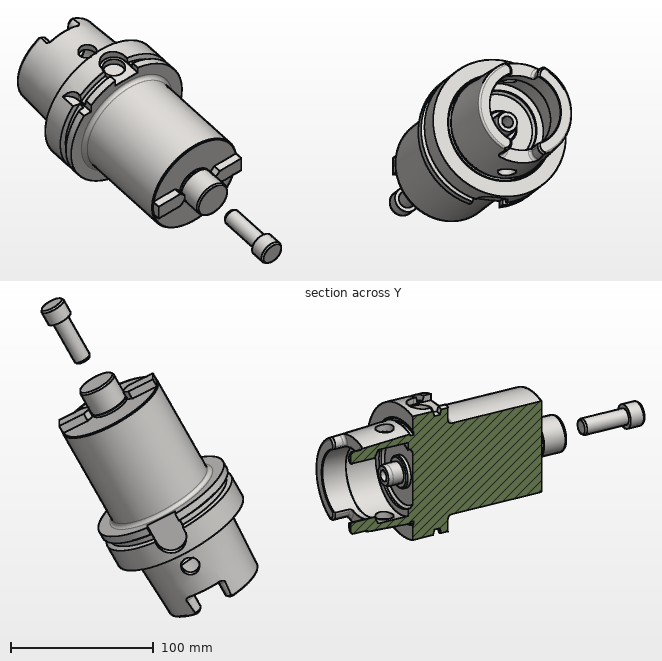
import cadquery as cq
import math


OVERALL_LENGTH = 242
TAPER_LENGTH = 50.0
TAPER_LARGE_RADIUS = 74.8 / 2
TAPER_SMALL_RADIUS = 70.2 / 2
NOSE_EDGE_RADIUS = 1.5
NECK_WIDTH = 2.2
NECK_RADIUS = 36.3
NECK_BEVEL = 0.7
FACE_RELIEF_RADIUS = 39.0
FACE_RELIEF_DEPTH = 1.0

FLANGE_RADIUS = 100.0 / 2
FLANGE_WIDTH = 29.0
FLANGE_FILLET = 3.0
GROOVE_CENTRE_X = 20.0
GROOVE_FLOOR_RADIUS = 46.2
GROOVE_FLOOR_WIDTH = 4.0
GROOVE_MOUTH_WIDTH = 6.3

BODY_RADIUS = 76.0 / 2
BODY_END_X = 105.0
BODY_CHAMFER = 0.7
PILOT_RADIUS = 27.0 / 2
PILOT_END_X = 125.5
PILOT_CHAMFER = 1.5
PILOT_NECK_RADIUS = 26.5 / 2
PILOT_NECK_WIDTH = 1.7
TENON_WIDTH = 12.0
TENON_HEIGHT = 6.0
TENON_INNER_Y = 13.8
TENON_OUTER_Y = 37.3
TENON_CHAMFER = 3.9

BORE_RADIUS = 53.0 / 2
BORE_MOUTH_RADIUS = 53.7 / 2
CHAMBER_RADIUS = 63 / 2
CHAMBER_START_X = -30.5
CHAMBER_END_X = -3.6
CHAMBER_CONE_ANGLE = 30
CAVITY_FLOOR_X = 0.0
CAVITY_FLOOR_CHAMFER = 2.0
COLLAR_RADIUS = 24.0 / 2
COLLAR_HEIGHT = 3.6
COLLAR_CHAMFER = 1.0
TUBE_RADIUS = 16.0 / 2
TUBE_BORE_RADIUS = 8.2 / 2
TUBE_TIP_X = -15.5
TUBE_TAPER_LENGTH = 3.1
TUBE_TAPER_ANGLE = 15

DRIVE_SLOT_HALF_WIDTH = 19.5 / 2
DRIVE_SLOT_EDGE_RADIUS = 5.8
DRIVE_SLOT_EDGE_TOP = 32.2
DRIVE_SLOT_CORNER_RADIUS = 2.2
DRIVE_SLOT_SIDE_RELIEF = 4.8
UPPER_DRIVE_SLOT_DEPTH = 9.7
LOWER_DRIVE_SLOT_DEPTH = 14.5
ACCESS_HOLE_RADIUS = 13.0 / 2
ACCESS_HOLE_X = -14.5

KEYWAY_END_X = 14.8
KEYWAY_FLOOR = 44.0
UPPER_KEYWAY_WIDTH = 20.0
LOWER_KEYWAY_WIDTH = 22.3
CHIP_HOLE_RADIUS = 16.0 / 2
CHIP_HOLE_DEPTH = 4.8
NOTCH_OFFSET = 32.0
NOTCH_END_RADIUS = 10.0

SCREW_TIP_X = 145.0
SCREW_HEAD_X = 180.0
SCREW_END_X = OVERALL_LENGTH - TAPER_LENGTH
SCREW_RADIUS = 12.0 / 2
SCREW_TIP_RADIUS = 10.5 / 2
SCREW_TIP_LENGTH = 1.5
HEAD_RADIUS = 18.0 / 2
HEAD_END_RADIUS = 16.0 / 2
HEAD_CHAMFER_LENGTH = 1.5


def revolve_about_x(points):
    """Turn a closed (x, radius) outline about the X axis."""
    return cq.Workplane("XY").polyline(points).close().revolve(360, (0, 0, 0), (1, 0, 0))


def shank_taper():
    nose_bulge = NOSE_EDGE_RADIUS * (1 - math.sqrt(0.5))
    return (cq.Workplane("XY").moveTo(-TAPER_LENGTH, 0)
            .lineTo(-TAPER_LENGTH, TAPER_SMALL_RADIUS - NOSE_EDGE_RADIUS)
            .threePointArc((-TAPER_LENGTH + nose_bulge, TAPER_SMALL_RADIUS - nose_bulge),
                           (-TAPER_LENGTH + NOSE_EDGE_RADIUS, TAPER_SMALL_RADIUS))
            .lineTo(-NECK_WIDTH, TAPER_LARGE_RADIUS)
            .lineTo(-NECK_WIDTH + NECK_BEVEL, NECK_RADIUS)
            .lineTo(FACE_RELIEF_DEPTH, NECK_RADIUS)
            .lineTo(FACE_RELIEF_DEPTH, 0).close()
            .revolve(360, (0, 0, 0), (1, 0, 0)))


def flange():
    half_floor = GROOVE_FLOOR_WIDTH / 2
    half_mouth = GROOVE_MOUTH_WIDTH / 2
    blank = revolve_about_x([
        (FACE_RELIEF_DEPTH, 0),
        (FACE_RELIEF_DEPTH, FACE_RELIEF_RADIUS - FACE_RELIEF_DEPTH),
        (0, FACE_RELIEF_RADIUS),
        (0, FLANGE_RADIUS),
        (GROOVE_CENTRE_X - half_mouth, FLANGE_RADIUS),
        (GROOVE_CENTRE_X - half_floor, GROOVE_FLOOR_RADIUS),
        (GROOVE_CENTRE_X + half_floor, GROOVE_FLOOR_RADIUS),
        (GROOVE_CENTRE_X + half_mouth, FLANGE_RADIUS),
        (FLANGE_WIDTH, FLANGE_RADIUS),
        (FLANGE_WIDTH, 0),
    ])
    for side, width in ((1, UPPER_KEYWAY_WIDTH), (-1, LOWER_KEYWAY_WIDTH)):
        blank = blank.cut(keyway(side, width))
    return blank.cut(chip_hole()).cut(corner_notch())


def keyway(side, width):
    """Round-ended keyway at the top (side 1) or bottom (side -1), open to the body side."""
    depth = FLANGE_RADIUS - KEYWAY_FLOOR
    run_out = FLANGE_WIDTH - KEYWAY_END_X
    floor = cq.Workplane("XY").workplane(offset=side * KEYWAY_FLOOR)
    straight = floor.center(KEYWAY_END_X + run_out / 2, 0).rect(run_out, width).extrude(side * depth)
    round_end = floor.center(KEYWAY_END_X, 0).circle(width / 2).extrude(side * depth)
    return straight.union(round_end)


def chip_hole():
    floor = KEYWAY_FLOOR - CHIP_HOLE_DEPTH
    return (cq.Workplane("XY").workplane(offset=floor).center(KEYWAY_END_X, 0)
            .circle(CHIP_HOLE_RADIUS).extrude(CHIP_HOLE_DEPTH))


def corner_notch():
    """Square-floored notch across the -Y, +Z shoulder with a milled round end."""
    reach = FLANGE_RADIUS - NOTCH_OFFSET
    run_out = FLANGE_WIDTH - KEYWAY_END_X
    floor = cq.Workplane("XY").workplane(offset=NOTCH_OFFSET)
    straight = (floor.center(KEYWAY_END_X + run_out / 2, -NOTCH_OFFSET - reach / 2)
                .rect(run_out, reach).extrude(reach))
    round_end = (floor.center(KEYWAY_END_X, -NOTCH_OFFSET - NOTCH_END_RADIUS)
                 .circle(NOTCH_END_RADIUS).extrude(reach))
    return straight.union(round_end)


def body_with_pilot():
    fillet_middle = FLANGE_FILLET * (1 - math.sqrt(0.5))
    neck_step = PILOT_RADIUS - PILOT_NECK_RADIUS
    neck_end = BODY_END_X + PILOT_NECK_WIDTH
    return (cq.Workplane("XY").moveTo(FLANGE_WIDTH, 0)
            .lineTo(FLANGE_WIDTH, BODY_RADIUS + FLANGE_FILLET)
            .threePointArc((FLANGE_WIDTH + fillet_middle, BODY_RADIUS + fillet_middle),
                           (FLANGE_WIDTH + FLANGE_FILLET, BODY_RADIUS))
            .lineTo(BODY_END_X - BODY_CHAMFER, BODY_RADIUS)
            .lineTo(BODY_END_X, BODY_RADIUS - BODY_CHAMFER)
            .lineTo(BODY_END_X, PILOT_NECK_RADIUS)
            .lineTo(neck_end, PILOT_NECK_RADIUS)
            .lineTo(neck_end + 2 * neck_step, PILOT_RADIUS)
            .lineTo(PILOT_END_X - PILOT_CHAMFER, PILOT_RADIUS)
            .lineTo(PILOT_END_X, PILOT_RADIUS - PILOT_CHAMFER / 2)
            .lineTo(PILOT_END_X, 0).close()
            .revolve(360, (0, 0, 0), (1, 0, 0)))


def tenon(side):
    """Driving tenon on the +Y (side 1) or -Y (side -1) half of the body end."""
    half = TENON_WIDTH / 2
    return (cq.Workplane("YZ").workplane(offset=BODY_END_X)
            .polyline([(side * TENON_OUTER_Y, -half),
                       (side * TENON_OUTER_Y, half),
                       (side * (TENON_INNER_Y + TENON_CHAMFER), half),
                       (side * TENON_INNER_Y, half - TENON_CHAMFER),
                       (side * TENON_INNER_Y, TENON_CHAMFER - half),
                       (side * (TENON_INNER_Y + TENON_CHAMFER), -half)])
            .close().extrude(TENON_HEIGHT))


def shank_cavity():
    mouth_depth = 2 * (BORE_MOUTH_RADIUS - BORE_RADIUS)
    cone_length = (CHAMBER_RADIUS - BORE_RADIUS) * math.tan(math.radians(CHAMBER_CONE_ANGLE))
    return revolve_about_x([
        (-TAPER_LENGTH, 0),
        (-TAPER_LENGTH, BORE_MOUTH_RADIUS),
        (-TAPER_LENGTH + mouth_depth, BORE_RADIUS),
        (CHAMBER_START_X, BORE_RADIUS),
        (CHAMBER_START_X + cone_length, CHAMBER_RADIUS),
        (CHAMBER_END_X, CHAMBER_RADIUS),
        (CHAMBER_END_X, BORE_RADIUS),
        (CAVITY_FLOOR_X - CAVITY_FLOOR_CHAMFER, BORE_RADIUS),
        (CAVITY_FLOOR_X, BORE_RADIUS - CAVITY_FLOOR_CHAMFER),
        (CAVITY_FLOOR_X, 0),
    ])


def drive_slot_outline(side, plane_x):
    """Slot cross-section at plane_x: straight walls that curve outwards over rounded edges."""
    edge_low = DRIVE_SLOT_EDGE_TOP - DRIVE_SLOT_EDGE_RADIUS
    edge_outer = DRIVE_SLOT_HALF_WIDTH + DRIVE_SLOT_EDGE_RADIUS
    arc_y = edge_outer - DRIVE_SLOT_EDGE_RADIUS * math.sqrt(0.5)
    arc_z = edge_low + DRIVE_SLOT_EDGE_RADIUS * math.sqrt(0.5)
    side_limit = edge_outer + DRIVE_SLOT_SIDE_RELIEF
    outer_limit = 2 * TAPER_LARGE_RADIUS
    return (cq.Workplane("YZ").workplane(offset=plane_x)
            .moveTo(-DRIVE_SLOT_HALF_WIDTH, 0)
            .lineTo(-DRIVE_SLOT_HALF_WIDTH, side * edge_low)
            .threePointArc((-arc_y, side * arc_z), (-edge_outer, side * DRIVE_SLOT_EDGE_TOP))
            .lineTo(-side_limit, side * DRIVE_SLOT_EDGE_TOP)
            .lineTo(-side_limit, side * outer_limit)
            .lineTo(side_limit, side * outer_limit)
            .lineTo(side_limit, side * DRIVE_SLOT_EDGE_TOP)
            .lineTo(edge_outer, side * DRIVE_SLOT_EDGE_TOP)
            .threePointArc((arc_y, side * arc_z), (DRIVE_SLOT_HALF_WIDTH, side * edge_low))
            .lineTo(DRIVE_SLOT_HALF_WIDTH, 0)
            .close())


def drive_slot(side, depth):
    """Open slot across the shank nose, with round inner corners and a bevelled mouth."""
    slot = drive_slot_outline(side, -TAPER_LENGTH).extrude(depth)
    inner_limit = DRIVE_SLOT_HALF_WIDTH / 2
    outer_limit = DRIVE_SLOT_HALF_WIDTH + DRIVE_SLOT_EDGE_RADIUS + 0.9 * DRIVE_SLOT_SIDE_RELIEF
    corner_edges = [edge for edge in slot.faces(">X").edges().vals()
                    if inner_limit < abs(edge.Center().y) < outer_limit]
    slot = slot.newObject(corner_edges).fillet(DRIVE_SLOT_CORNER_RADIUS)
    mouth = (drive_slot_outline(side, NOSE_EDGE_RADIUS - TAPER_LENGTH)
             .extrude(-NOSE_EDGE_RADIUS, taper=-45))
    return slot.union(mouth)


def access_holes():
    return (cq.Workplane("XY").workplane(offset=-FLANGE_RADIUS).center(ACCESS_HOLE_X, 0)
            .circle(ACCESS_HOLE_RADIUS).extrude(2 * FLANGE_RADIUS))


def coolant_tube():
    """Chamfered collar on the cavity floor with a tapered tube rising out of it."""
    collar_face_x = CAVITY_FLOOR_X - COLLAR_HEIGHT
    tip_radius = TUBE_RADIUS - TUBE_TAPER_LENGTH * math.tan(math.radians(TUBE_TAPER_ANGLE))
    return revolve_about_x([
        (TUBE_TIP_X, TUBE_BORE_RADIUS),
        (TUBE_TIP_X, tip_radius),
        (TUBE_TIP_X + TUBE_TAPER_LENGTH, TUBE_RADIUS),
        (collar_face_x, TUBE_RADIUS),
        (collar_face_x, COLLAR_RADIUS - COLLAR_CHAMFER),
        (collar_face_x + COLLAR_CHAMFER, COLLAR_RADIUS),
        (CAVITY_FLOOR_X, COLLAR_RADIUS),
        (CAVITY_FLOOR_X, TUBE_BORE_RADIUS),
    ])


def make_holder():
    holder = shank_taper().union(flange()).union(body_with_pilot())
    for side in (1, -1):
        holder = holder.union(tenon(side))
    holder = holder.cut(shank_cavity())
    holder = holder.cut(drive_slot(1, UPPER_DRIVE_SLOT_DEPTH))
    holder = holder.cut(drive_slot(-1, LOWER_DRIVE_SLOT_DEPTH))
    return holder.cut(access_holes()).union(coolant_tube())


def make_screw():
    return revolve_about_x([
        (SCREW_TIP_X, 0),
        (SCREW_TIP_X, SCREW_TIP_RADIUS),
        (SCREW_TIP_X + SCREW_TIP_LENGTH, SCREW_RADIUS),
        (SCREW_HEAD_X, SCREW_RADIUS),
        (SCREW_HEAD_X, HEAD_RADIUS),
        (SCREW_END_X - HEAD_CHAMFER_LENGTH, HEAD_RADIUS),
        (SCREW_END_X, HEAD_END_RADIUS),
        (SCREW_END_X, 0),
    ])


holder = make_holder()
screw = make_screw()
result = cq.Compound.makeCompound([holder.val(), screw.val()])